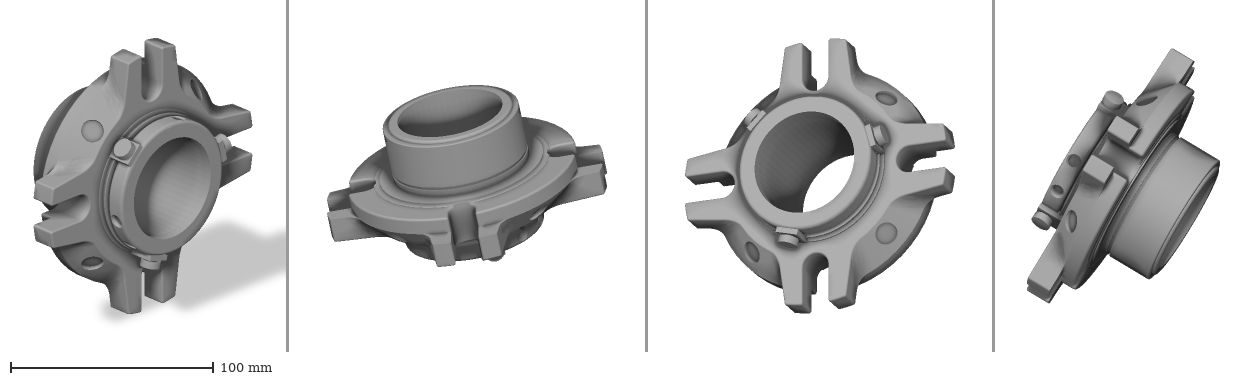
import cadquery as cq
import math

SHOULDER_X = 1.55
GROOVE_START_X = 24.1
GROOVE_END_X = 25.8
PILOT_X = 29.1
STEP_X = 29.8
FLANGE_FRONT_X = 30.2
LUG_FRONT_X = 38.2
FLANGE_BACK_X = 50.9
LUG_LENGTH = FLANGE_BACK_X - LUG_FRONT_X
HUB_BACK_X = 51.7
RING_FRONT_X = 53.5
RING_BACK_X = 54.3
COLLAR_FRONT_X = 55.4
COLLAR_BACK_X = 65.15
OVERALL_LENGTH = 65.35

BORE_D = 53.0
SLEEVE_D = 54.97
NOSE_D = 62.74
SEAT_D = 68.58
REAR_SEAT_D = 68.53
GROOVE_D = 66.75
PILOT_D = 82.55
STEP_D = 88.9
HUB_D = 74.2
HUB_NECK_D = 69.95
RING_D = 71.48
COLLAR_D = 69.95
NOSE_FILLET = 1.5
SEAT_FILLET = 0.6
STEP_FILLET = 0.3
COLLAR_FILLET = 1.7

FLANGE_D = 115.0
CONE_BACK_D = 91.0
LUG_D = 139.7
SLOT_WIDTH = 13.72
SLOT_DEPTH_R = 43.0
SLOT_COUNT = 4
LUG_HALF_WIDTH = 16.0
LUG_TAPER = 8.0
LUG_ROOT_R = 38.0
LUG_BLEND = 6.6
CORNER_FILLET = 1.2
FACE_FILLET = 0.9
CORNER_BAND = 4.0

PORT_D = 11.25
PORT_DEPTH = 2.3
PORT_X = 45.4
PORT_COUNT = 4
PORT_FIRST_ANGLE = 45.0

CLIP_ANGLES = (15.0, 135.0, 255.0)
CLIP_WIDTH = 11.7
CLIP_FRONT_X = 51.9
CLIP_OUTER_R = 37.5
CLIP_SEATING = 0.2
CLIP_INNER_R = COLLAR_D / 2 - CLIP_SEATING
CLIP_LIP_R = 33.3
HEAD_D = 10.0
HEAD_BASE_R = 38.3
HEAD_TOP_R = 42.0
SHANK_D = 6.0
HEAD_X = OVERALL_LENGTH - HEAD_D / 2

SET_HOLE_ANGLES = (45.0, 75.0, 195.0, 225.0)
SET_HOLE_X = HEAD_X
SET_HOLE_D = 5.6
SET_SINK_D = 7.6
SET_SINK_DEPTH = 1.4
SET_HOLE_DEPTH = 4.0


def cylinder(x_start, x_end, diameter):
    """Solid cylinder on the shaft axis between two X stations."""
    return cq.Workplane("YZ", origin=(x_start, 0, 0)).circle(diameter / 2).extrude(x_end - x_start)


def block(x_start, x_end, width, r_inner, r_outer):
    """Box standing on the +Y axis, symmetric about Z = 0."""
    size = (x_end - x_start, r_outer - r_inner, width)
    middle = ((x_start + x_end) / 2, (r_inner + r_outer) / 2, 0)
    return cq.Workplane("XY").box(*size).translate(middle)


def radial_cylinder(x, r_inner, r_outer, diameter):
    """Solid cylinder along +Y between two radii, at one X station."""
    foot = cq.Vector(x, r_inner, 0)
    outward = cq.Vector(0, 1, 0)
    return cq.Workplane(cq.Solid.makeCylinder(diameter / 2, r_outer - r_inner, foot, outward))


def turned(shape, angle):
    """Shape rotated about the shaft axis, from +Y toward +Z."""
    return shape.rotate((0, 0, 0), (1, 0, 0), angle)


def make_sleeve():
    """Grooved seat with a stepped nose, and the slim sleeve that carries the collar."""
    nose = cylinder(0, SHOULDER_X, NOSE_D).faces("<X").edges().fillet(NOSE_FILLET)
    seat = cylinder(SHOULDER_X, GROOVE_START_X, SEAT_D).faces("<X").edges().fillet(SEAT_FILLET)
    groove = cylinder(GROOVE_START_X, GROOVE_END_X, GROOVE_D)
    rear_seat = cylinder(GROOVE_END_X, PILOT_X, REAR_SEAT_D)
    pilot = cylinder(PILOT_X, FLANGE_FRONT_X, PILOT_D)
    slim = cylinder(PILOT_X, COLLAR_BACK_X, SLEEVE_D)
    return nose.union(seat).union(groove).union(rear_seat).union(pilot).union(slim)


def cut_slots(body):
    """Round-bottomed bolt slots, open outward, cut along the whole flange."""
    arc_r = SLOT_DEPTH_R + SLOT_WIDTH / 2
    length = FLANGE_BACK_X - STEP_X
    root = cq.Workplane("YZ", origin=(STEP_X, arc_r, 0)).circle(SLOT_WIDTH / 2).extrude(length)
    slot = root.union(block(STEP_X, FLANGE_BACK_X, SLOT_WIDTH, arc_r, LUG_D))
    for i in range(SLOT_COUNT):
        body = body.cut(turned(slot, i * 360 / SLOT_COUNT))
    return body


def round_axial_corners(body, radius):
    """Round the axial edges that lie beyond a radius."""
    corners = [
        edge
        for edge in body.edges("|X").vals()
        if math.hypot(edge.Center().y, edge.Center().z) > radius
    ]
    return body.newObject(corners).fillet(CORNER_FILLET)


def make_front_flange():
    """Slotted disc with rounded front edges."""
    disc = cut_slots(cylinder(FLANGE_FRONT_X, LUG_FRONT_X, FLANGE_D))
    disc = round_axial_corners(disc, FLANGE_D / 2 - CORNER_BAND)
    return disc.faces("<X").edges().fillet(CORNER_FILLET)


def make_lug_pair():
    """Tapered block on the +Y axis that the bolt slot splits into two lugs."""
    spread = (LUG_D / 2 - LUG_ROOT_R) * math.tan(math.radians(LUG_TAPER))
    root_half = LUG_HALF_WIDTH + spread
    tip_r = LUG_D / 2
    outline = [
        (LUG_ROOT_R, -root_half),
        (tip_r, -LUG_HALF_WIDTH),
        (tip_r, LUG_HALF_WIDTH),
        (LUG_ROOT_R, root_half),
    ]
    prism = cq.Workplane("YZ", origin=(LUG_FRONT_X, 0, 0)).polyline(outline).close().extrude(LUG_LENGTH)
    return prism.intersect(cylinder(LUG_FRONT_X, FLANGE_BACK_X, LUG_D))


def make_rear_flange():
    """Conical back with lug pairs blended into it, then slotted."""
    body = cq.Workplane(
        cq.Solid.makeCone(
            FLANGE_D / 2,
            CONE_BACK_D / 2,
            LUG_LENGTH,
            cq.Vector(LUG_FRONT_X, 0, 0),
            cq.Vector(1, 0, 0),
        )
    )
    lugs = make_lug_pair()
    for i in range(SLOT_COUNT):
        body = body.union(turned(lugs, i * 360 / SLOT_COUNT))
    roots = [
        edge
        for edge in body.edges("not(|X)").vals()
        if LUG_FRONT_X + FACE_FILLET < edge.Center().x < FLANGE_BACK_X - FACE_FILLET
    ]
    body = body.newObject(roots).fillet(LUG_BLEND)
    body = cut_slots(body)
    body = round_axial_corners(body, LUG_D / 2 - CORNER_BAND)
    return body.faces(">X").edges().fillet(FACE_FILLET)


def make_port():
    """Blind port on the +Y side, square to the conical back."""
    drop = (FLANGE_D - CONE_BACK_D) / 2
    slant = math.hypot(LUG_LENGTH, drop)
    normal = cq.Vector(drop / slant, LUG_LENGTH / slant, 0)
    port_r = FLANGE_D / 2 - drop * (PORT_X - LUG_FRONT_X) / LUG_LENGTH
    floor = cq.Vector(PORT_X, port_r, 0) - normal * PORT_DEPTH
    tool_length = PORT_DEPTH + PORT_D / 2
    return cq.Workplane(cq.Solid.makeCylinder(PORT_D / 2, tool_length, floor, normal))


def make_gland():
    """Complete gland flange with its front step and rear hub."""
    step = cylinder(STEP_X, LUG_FRONT_X, STEP_D).faces("<X").edges().fillet(STEP_FILLET)
    core = cut_slots(step)
    gland = make_front_flange().union(core).union(make_rear_flange())
    for i in range(PORT_COUNT):
        gland = gland.cut(turned(make_port(), PORT_FIRST_ANGLE + i * 360 / PORT_COUNT))
    hub = cylinder(FLANGE_BACK_X, HUB_BACK_X, HUB_D)
    neck = cylinder(FLANGE_BACK_X, RING_FRONT_X, HUB_NECK_D)
    ring = cylinder(RING_FRONT_X, RING_BACK_X, RING_D)
    return gland.union(hub).union(neck).union(ring)


def make_collar():
    """Drive collar with rounded rims and countersunk set screw holes."""
    collar = cylinder(COLLAR_FRONT_X, COLLAR_BACK_X, COLLAR_D).edges().fillet(COLLAR_FILLET)
    rim_r = COLLAR_D / 2
    hole = radial_cylinder(SET_HOLE_X, rim_r - SET_HOLE_DEPTH, rim_r, SET_HOLE_D)
    sink = cq.Solid.makeCone(
        SET_HOLE_D / 2,
        SET_SINK_D / 2,
        SET_SINK_DEPTH,
        cq.Vector(SET_HOLE_X, rim_r - SET_SINK_DEPTH, 0),
        cq.Vector(0, 1, 0),
    )
    tool = hole.union(cq.Workplane(sink))
    for angle in SET_HOLE_ANGLES:
        collar = collar.cut(turned(tool, angle))
    return collar


def make_clip():
    """Setting clip on the +Y axis with its lip and round screw head."""
    plate = block(CLIP_FRONT_X, COLLAR_BACK_X, CLIP_WIDTH, CLIP_INNER_R, CLIP_OUTER_R)
    lip = block(RING_BACK_X, COLLAR_FRONT_X, CLIP_WIDTH, CLIP_LIP_R, CLIP_OUTER_R)
    head = radial_cylinder(HEAD_X, HEAD_BASE_R, HEAD_TOP_R, HEAD_D)
    shank = radial_cylinder(HEAD_X, CLIP_INNER_R, HEAD_BASE_R, SHANK_D)
    return plate.union(lip).union(shank).union(head)


def make_part():
    """Cartridge seal: sleeve, gland, collar and clips around one through bore."""
    part = make_sleeve().union(make_gland()).union(make_collar())
    for angle in CLIP_ANGLES:
        part = part.union(turned(make_clip(), angle))
    return part.cut(cylinder(0, OVERALL_LENGTH, BORE_D))


result = make_part()